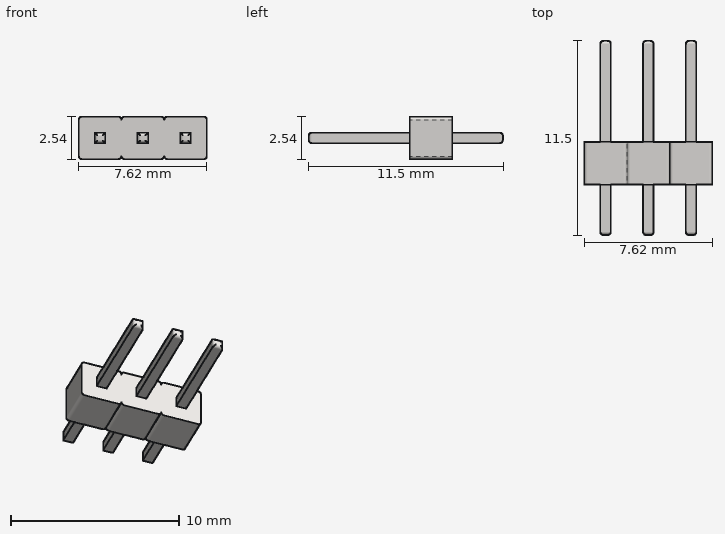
import cadquery as cq

pin_count = 3
pitch = 2.54
body_edge_radius = 0.2
pin_width = 0.63
front_pin_length = 3.0
rear_pin_length = 6.0
tip_radius = 0.2

body_front = -pitch / 2
pin_length = front_pin_length + pitch + rear_pin_length
pin_center_y = body_front - front_pin_length + pin_length / 2
pin_positions = [(i - (pin_count - 1) / 2) * pitch for i in range(pin_count)]


def body_cell(x):
    """Insulator cube around one pin, rounded along its edges parallel to Y."""
    cell = cq.Workplane("XY").box(pitch, pitch, pitch)
    return cell.edges("|Y").fillet(body_edge_radius).translate((x, 0, 0))


def pin(x):
    """Square pin with rounded edges around both end faces."""
    bar = cq.Workplane("XY").box(pin_width, pin_length, pin_width)
    bar = bar.faces("<Y or >Y").edges().fillet(tip_radius)
    return bar.translate((x, pin_center_y, 0))


result = cq.Workplane("XY")
for position in pin_positions:
    result = result.union(body_cell(position)).union(pin(position))